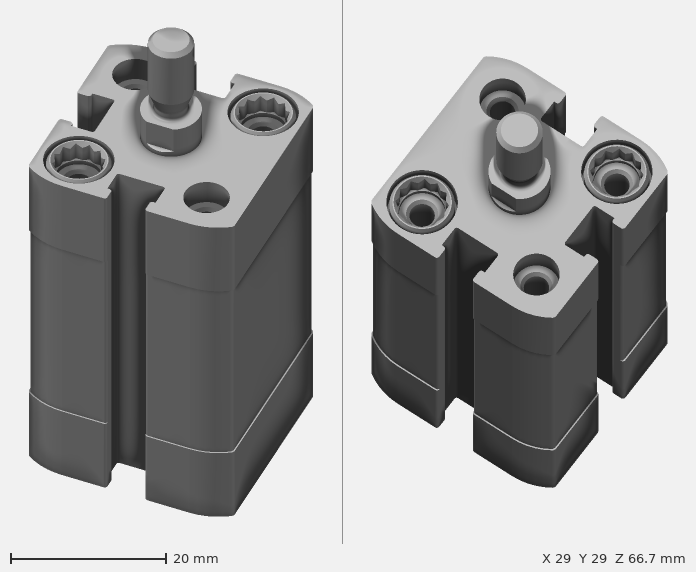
import cadquery as cq
import math

CAP_WIDTH = 29.0
CAP_HALF_WIDTH = CAP_WIDTH / 2
BARREL_HEIGHT = 50.0
CAP_HEIGHT = 11.0
TUBE_INSET = 0.2
CORNER_ARC_RADIUS = 9.35
CORNER_EDGE_FILLET = 0.7

SLOT_MOUTH_WIDTH = 5.4
SLOT_INNER_WIDTH = 6.8
SLOT_LIP = 1.95
SLOT_DEPTH = 5.15
SLOT_OUTER_FILLET = 0.4
SLOT_INNER_FILLET = 0.4
SLOT_FLOOR_FILLET = 0.35
SLOT_DIRECTIONS = (90, 180, 270)

HOLE_OFFSET = 9.0
HOLE_DIAMETER = 3.3
HOLE_CHAMFER_DIAMETER = 4.15
COUNTERBORE_DIAMETER = 6.0
COUNTERBORE_DEPTH = 3.5
PLAIN_HOLES = [(-HOLE_OFFSET, HOLE_OFFSET), (HOLE_OFFSET, -HOLE_OFFSET)]
SOCKET_HOLES = [(-HOLE_OFFSET, -HOLE_OFFSET), (HOLE_OFFSET, HOLE_OFFSET)]

GROOVE_OUTER_DIAMETER = 9.2
GROOVE_INNER_DIAMETER = 8.5
SOCKET_RIM_BEVEL = 0.7
SOCKET_RIM_DIAMETER = 7.7
SOCKET_MOUTH_DIAMETER = 7.35
SOCKET_MOUTH_CONE_HEIGHT = 4.7
SOCKET_ACROSS_FLATS = 6.0
SOCKET_DEPTH = 2.8

COLLAR_DIAMETER = 8.0
COLLAR_HEIGHT = 4.7
FLAT_HEIGHT = 3.75
ACROSS_FLATS = 7.0
FLAT_END_DROP = 0.3
NECK_DIAMETER = 4.5
NECK_FILLET = 0.4
NECK_BLEND = 0.7
NECK_HEIGHT = 1.2
NECK_CONE_HEIGHT = 2.2
THREAD_DIAMETER = 6.0
ROD_TOP = 66.7
TIP_CHAMFER = 0.6


def barrel_section(inset, bottom, height):
    """Length of barrel with its sides moved in by inset, without slots."""
    side = CAP_HALF_WIDTH - inset
    radius = CORNER_ARC_RADIUS - inset
    arc_center_y = side - radius
    run = side - HOLE_OFFSET
    side_y = arc_center_y + math.sqrt(radius**2 - run**2)
    half_angle = math.asin(run / radius) / 2
    mid_x = HOLE_OFFSET + radius * math.sin(half_angle)
    mid_y = arc_center_y + radius * math.cos(half_angle)
    return (
        cq.Workplane("XY", origin=(0, 0, bottom))
        .moveTo(-HOLE_OFFSET, side)
        .lineTo(HOLE_OFFSET, side)
        .threePointArc((mid_x, mid_y), (side, side_y))
        .lineTo(side, -side_y)
        .threePointArc((mid_x, -mid_y), (HOLE_OFFSET, -side))
        .lineTo(-HOLE_OFFSET, -side)
        .threePointArc((-mid_x, -mid_y), (-side, -side_y))
        .lineTo(-side, side_y)
        .threePointArc((-mid_x, mid_y), (-HOLE_OFFSET, side))
        .close()
        .extrude(height)
        .edges("|Z and (>X or <X)")
        .fillet(CORNER_EDGE_FILLET)
    )


def slot_cutter(inset):
    """T-slot in the +X side, with rounded lip edges and floor corners."""
    side = CAP_HALF_WIDTH - inset
    lip_x = CAP_HALF_WIDTH - SLOT_LIP
    floor_x = CAP_HALF_WIDTH - SLOT_DEPTH
    mouth = SLOT_MOUTH_WIDTH / 2
    outer = SLOT_OUTER_FILLET
    outer_mid = outer * (1 - math.sqrt(0.5))
    inner = SLOT_INNER_FILLET
    inner_mid = inner * (1 - math.sqrt(0.5))
    channel = (
        cq.Workplane("XY")
        .box(lip_x - floor_x, SLOT_INNER_WIDTH, BARREL_HEIGHT, centered=(False, True, False))
        .translate((floor_x, 0, 0))
        .edges("|Z and <X")
        .fillet(SLOT_FLOOR_FILLET)
    )
    opening = (
        cq.Workplane("XY")
        .moveTo(lip_x, -mouth - inner)
        .threePointArc((lip_x + inner_mid, -mouth - inner_mid), (lip_x + inner, -mouth))
        .lineTo(side - outer, -mouth)
        .threePointArc((side - outer_mid, -mouth - outer_mid), (side, -mouth - outer))
        .lineTo(side, mouth + outer)
        .threePointArc((side - outer_mid, mouth + outer_mid), (side - outer, mouth))
        .lineTo(lip_x + inner, mouth)
        .threePointArc((lip_x + inner_mid, mouth + inner_mid), (lip_x, mouth + inner))
        .close()
        .extrude(BARREL_HEIGHT)
    )
    return channel.union(opening)


def slotted_section(inset, bottom, height):
    section = barrel_section(inset, bottom, height)
    cutter = slot_cutter(inset)
    for direction in SLOT_DIRECTIONS:
        section = section.cut(cutter.rotate((0, 0, 0), (0, 0, 1), direction))
    return section


def revolved(profile):
    """Solid turned about Z from (radius, z) points."""
    return cq.Workplane("XZ").polyline(profile).close().revolve(360, (0, 0, 0), (0, 1, 0))


def fixing_hole_cutter():
    """Stepped through hole: counterbore, chamfer and bore."""
    bore = HOLE_DIAMETER / 2
    chamfer = HOLE_CHAMFER_DIAMETER / 2
    counterbore = COUNTERBORE_DIAMETER / 2
    seat_z = BARREL_HEIGHT - COUNTERBORE_DEPTH
    return revolved([
        (0, 0),
        (bore, 0),
        (bore, seat_z - (chamfer - bore)),
        (chamfer, seat_z),
        (counterbore, seat_z),
        (counterbore, BARREL_HEIGHT),
        (0, BARREL_HEIGHT),
    ])


def socket_cutter():
    """Ring groove around a bevelled rim, and a twelve-point socket with a conical mouth."""
    top = BARREL_HEIGHT
    groove = revolved([
        (SOCKET_RIM_DIAMETER / 2, top),
        (GROOVE_INNER_DIAMETER / 2, top - SOCKET_RIM_BEVEL),
        (GROOVE_INNER_DIAMETER / 2, top - COUNTERBORE_DEPTH),
        (GROOVE_OUTER_DIAMETER / 2, top - COUNTERBORE_DEPTH),
        (GROOVE_OUTER_DIAMETER / 2, top),
    ])
    mouth_radius = SOCKET_MOUTH_DIAMETER / 2
    mouth = revolved([(0, top), (mouth_radius, top), (0, top - SOCKET_MOUTH_CONE_HEIGHT)])
    hexagon = (
        cq.Workplane("XY", origin=(0, 0, top - SOCKET_DEPTH))
        .polygon(6, SOCKET_ACROSS_FLATS, circumscribed=True)
        .extrude(SOCKET_DEPTH)
    )
    turned_hexagon = hexagon.rotate((0, 0, 0), (0, 0, 1), 30)
    return groove.union(mouth.union(hexagon).union(turned_hexagon))


def make_barrel():
    tube_height = BARREL_HEIGHT - 2 * CAP_HEIGHT
    body = slotted_section(0, 0, CAP_HEIGHT)
    body = body.union(slotted_section(TUBE_INSET, CAP_HEIGHT, tube_height))
    body = body.union(slotted_section(0, BARREL_HEIGHT - CAP_HEIGHT, CAP_HEIGHT))
    for x, y in PLAIN_HOLES + SOCKET_HOLES:
        body = body.cut(fixing_hole_cutter().translate((x, y, 0)))
    for x, y in SOCKET_HOLES:
        body = body.cut(socket_cutter().translate((x, y, 0)))
    return body


def make_rod():
    collar = COLLAR_DIAMETER / 2
    neck = NECK_DIAMETER / 2
    thread = THREAD_DIAMETER / 2
    collar_top = BARREL_HEIGHT + COLLAR_HEIGHT
    neck_top = collar_top + NECK_HEIGHT
    fillet_mid = NECK_FILLET * (1 - math.sqrt(0.5))
    rod = (
        cq.Workplane("XZ")
        .moveTo(0, BARREL_HEIGHT)
        .lineTo(collar, BARREL_HEIGHT)
        .lineTo(collar, collar_top)
        .lineTo(neck + NECK_FILLET, collar_top)
        .threePointArc((neck + fillet_mid, collar_top + fillet_mid), (neck, collar_top + NECK_FILLET))
        .lineTo(neck, neck_top)
        .lineTo(thread, neck_top + NECK_CONE_HEIGHT)
        .lineTo(thread, ROD_TOP - TIP_CHAMFER)
        .lineTo(thread - TIP_CHAMFER, ROD_TOP)
        .lineTo(0, ROD_TOP)
        .close()
        .revolve(360, (0, 0, 0), (0, 1, 0))
        .edges(cq.selectors.NearestToPointSelector((0, 0, neck_top)))
        .fillet(NECK_BLEND)
    )
    flat_bottom = collar_top - FLAT_HEIGHT
    flat_cutter = (
        cq.Workplane("YZ")
        .moveTo(ACROSS_FLATS / 2, flat_bottom)
        .lineTo(collar, flat_bottom - FLAT_END_DROP)
        .lineTo(collar, collar_top)
        .lineTo(ACROSS_FLATS / 2, collar_top)
        .close()
        .extrude(collar, both=True)
    )
    for turn in (0, 180):
        rod = rod.cut(flat_cutter.rotate((0, 0, 0), (0, 0, 1), turn))
    return rod


barrel = make_barrel()
rod = make_rod()

result = cq.Compound.makeCompound([barrel.val(), rod.val()])